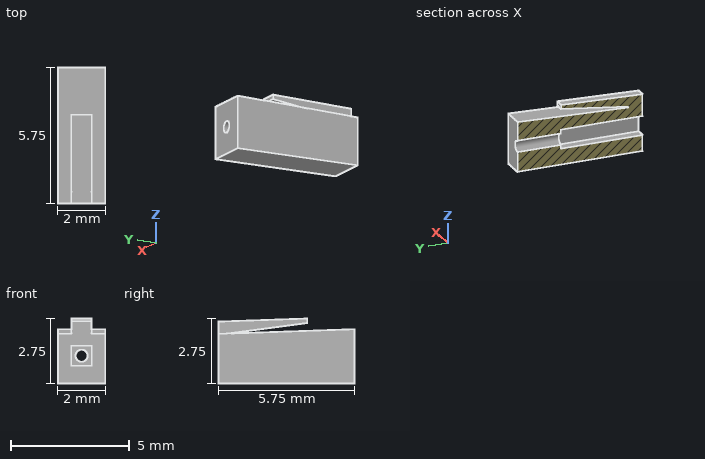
import cadquery as cq

width = 2.0
length = 5.75
front_height = 2.1
rear_height = 2.3

latch_width = 0.85
latch_length = 3.75
latch_front_top = 2.62
latch_rear_top = 2.75
latch_tip_thickness = 0.2
latch_root_length = 0.5

socket_size = 0.85
socket_depth = 3.75
passage_height = 1.175
bore_diameter = 0.5


def housing_top(y):
    """Height of the sloping housing top at distance y from the front."""
    return front_height + (rear_height - front_height) * y / length


def extrude_side_profile(points, thickness):
    """Extrude a (y, z) outline along X, centred on the X = 0 plane."""
    return cq.Workplane("YZ").polyline(points).close().extrude(thickness / 2, both=True)


def make_housing():
    outline = [(0, 0), (length, 0), (length, rear_height), (0, front_height)]
    return extrude_side_profile(outline, width)


def make_latch():
    outline = [
        (0, front_height),
        (latch_root_length, housing_top(latch_root_length)),
        (latch_length, latch_rear_top - latch_tip_thickness),
        (latch_length, latch_rear_top),
        (0, latch_front_top),
    ]
    return extrude_side_profile(outline, latch_width)


def make_passage():
    front = cq.Workplane("XZ").center(0, passage_height)
    socket = front.rect(socket_size, socket_size).extrude(-socket_depth)
    bore = front.circle(bore_diameter / 2).extrude(-length)
    return socket.union(bore)


result = make_housing().union(make_latch()).cut(make_passage())